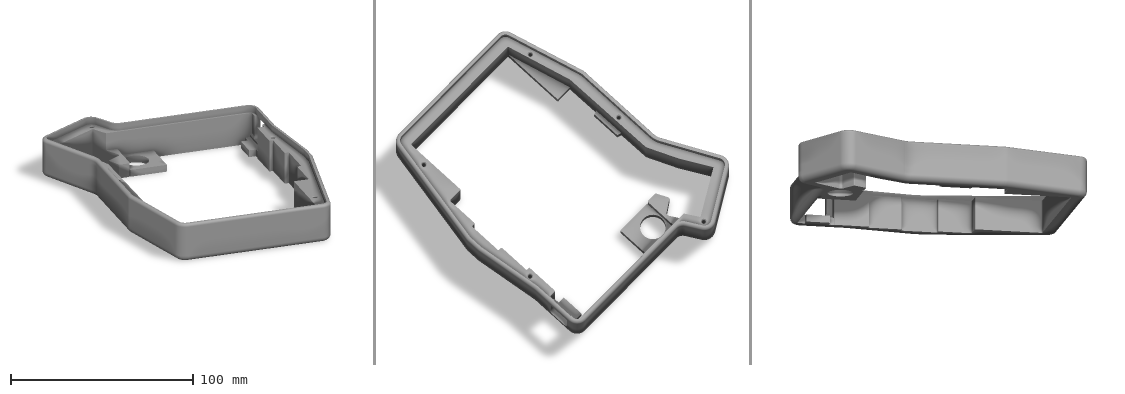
import cadquery as cq
import math

HEIGHT = 22.3
LIP_HEIGHT = 4.0
LEDGE_Z = HEIGHT - LIP_HEIGHT
FLOOR_Z = 4.0
LATCH_Z = 8.1

LIP_THICKNESS = 2.3
WALL_THICKNESS = 3.5
TOP_ROUND = 1.6
BOTTOM_ROUND = 3.0

LEFT_X = 13.7
RIGHT_X = 161.6
FRONT_Y = 17.3
BACK_LEFT_Y = 127.0
BACK_PEAK_Y = 132.0
INNER_LEFT_X = LEFT_X + WALL_THICKNESS

CORNER_ROUND = 6.1
BEND_ROUND = 8.1
FRONT_BEND_ROUND = 10.0
WAIST_ROUND = 4.8
OUTER_CORNERS = [
    (LEFT_X, BACK_LEFT_Y, CORNER_ROUND),
    (45.7, BACK_LEFT_Y, BEND_ROUND),
    (83.9, BACK_PEAK_Y, BEND_ROUND),
    (92.3, BACK_PEAK_Y, BEND_ROUND),
    (RIGHT_X, 118.3, CORNER_ROUND),
    (RIGHT_X, 30.0, CORNER_ROUND),
    (112.8, FRONT_Y, BEND_ROUND),
    (57.9, FRONT_Y, FRONT_BEND_ROUND),
    (19.7, -2.0, CORNER_ROUND),
    (-2.3, 36.0, CORNER_ROUND),
    (LEFT_X, 45.3, WAIST_ROUND),
]

INNER_RIGHT_X = 153.2
BLOCK_X = 115.5
BLOCK_BACK_Y = 112.7
BLOCK_FRONT_Y = 25.5
PLATFORM_Y = 35.2
STEP_ROUND = 0.6

BAY_BACK_Y = BACK_LEFT_Y - WALL_THICKNESS
BAY_RIGHT_X = 37.8
BAY_FRONT_Y = 119.6
BAY_CHAMFER = 0.6
BAY_CORNER_ROUND = 0.5
TONGUE_LEFT_X = 21.5
TONGUE_RIGHT_X = 34.9
TONGUE_FRONT_Y = 115.5
SLOT_LEFT_X = 21.7
SLOT_RIGHT_X = 34.5
SLOT_FLOOR_Z = 5.2
SLOT_ROUND = 2.3
SILL_DEPTH = 1.0
SILL_SLOPE_HEIGHT = 1.0

WAIST_INNER_Y = 38.5
FRONT_INNER_Y = 25.0
BAY_STEP_Y = 119.3
BACK_STEP_X = 57.5
BACK_STEP_Y = 121.4
NICHE_LEFT_X = 76.5
NICHE_RIGHT_X = 96.7
NICHE_Y = 123.8
INNER_CORNERS = [
    (INNER_LEFT_X, WAIST_INNER_Y, 0),
    (INNER_LEFT_X, BAY_BACK_Y, 0),
    (BAY_RIGHT_X, BAY_BACK_Y, BAY_CORNER_ROUND),
    (BAY_RIGHT_X, BAY_FRONT_Y, 0),
    (BAY_RIGHT_X + BAY_CHAMFER, BAY_STEP_Y, 0),
    (BACK_STEP_X, BAY_STEP_Y, 0),
    (BACK_STEP_X, BACK_STEP_Y, 0),
    (NICHE_LEFT_X, BACK_STEP_Y, STEP_ROUND),
    (NICHE_LEFT_X, NICHE_Y, 0),
    (NICHE_RIGHT_X, NICHE_Y, STEP_ROUND),
    (NICHE_RIGHT_X, BACK_STEP_Y, STEP_ROUND),
    (BLOCK_X, BACK_STEP_Y, STEP_ROUND),
    (BLOCK_X, BLOCK_BACK_Y, STEP_ROUND),
    (INNER_RIGHT_X, BLOCK_BACK_Y, STEP_ROUND),
    (INNER_RIGHT_X, PLATFORM_Y, STEP_ROUND),
    (BLOCK_X, BLOCK_FRONT_Y, 0),
    (58.5, FRONT_INNER_Y, 3.2),
    (41.0, 17.5, 0),
    (23.8, 8.0, 0),
    (9.2, 33.6, 0),
]

PLATE_RIGHT_X = 38.8
PLATE_BACK_Y = 66.3
LATCH_BACK_Y = 45.0
NOTCH_TOP_Y = 42.8
LATCH_BACK_ROUND = 1.3
LATCH_FRONT_ROUND = 0.6
NOTCH_ROUND = 0.5
PLATE_HOLE_DIAMETER = 14.0
PLATE_HOLE_CENTER = (27.3, 52.5)

TAB_LEFT_X = 77.0
TAB_RIGHT_X = 96.0
TAB_BACK_Y = 27.6
TAB_SIDE_SLANT = 0.8

SCREW_DIAMETER = 2.3
SCREW_MOUTH_DIAMETER = 3.2
SCREW_DEPTH = 13
DRILL_TIP_ANGLE = 118
SCREW_CENTERS = [(53.7, 122.7), (140.2, 116.2), (6.1, 34.3), (81.1, 23.0), (141.3, 30.0)]


def rounded_outline(corners):
    """Closed wire through (x, y, radius) corners, each rounded by a tangent arc."""
    path = None
    for i, (x, y, radius) in enumerate(corners):
        corner = cq.Vector(x, y)
        to_last = (cq.Vector(*corners[i - 1][:2]) - corner).normalized()
        to_next = (cq.Vector(*corners[(i + 1) % len(corners)][:2]) - corner).normalized()
        half_angle = to_last.getAngle(to_next) / 2
        tangent_length = radius / math.tan(half_angle)
        start = corner + to_last * tangent_length
        end = corner + to_next * tangent_length
        path = path.lineTo(start.x, start.y) if path else cq.Workplane().moveTo(start.x, start.y)
        if radius:
            toward_center = (to_last + to_next).normalized()
            middle = corner + toward_center * (radius / math.sin(half_angle) - radius)
            path = path.threePointArc((middle.x, middle.y), (end.x, end.y))
    return path.close()


def box(x_min, x_max, y_min, y_max, z_min, z_max):
    """Block between the given limits along each axis."""
    size = (x_max - x_min, y_max - y_min, z_max - z_min)
    return cq.Workplane().box(*size, centered=False).translate((x_min, y_min, z_min))


def frame():
    """Rounded outer body with the lip recess and the through opening."""
    body = rounded_outline(OUTER_CORNERS).extrude(HEIGHT)
    body = body.faces(">Z").edges().fillet(TOP_ROUND)
    body = body.faces("<Z").edges().fillet(BOTTOM_ROUND)
    recess = rounded_outline(OUTER_CORNERS).offset2D(-LIP_THICKNESS).extrude(LIP_HEIGHT)
    opening = rounded_outline(INNER_CORNERS).extrude(HEIGHT)
    return body.cut(recess.translate((0, 0, LEDGE_Z))).cut(opening)


def connector_floor():
    """Bay floor, its tongue, and the sloped sill along the back wall."""
    floor = box(INNER_LEFT_X, BAY_RIGHT_X, BAY_FRONT_Y, BAY_BACK_Y, 0, FLOOR_Z)
    tongue = box(TONGUE_LEFT_X, TONGUE_RIGHT_X, TONGUE_FRONT_Y, BAY_BACK_Y, 0, FLOOR_Z)
    sill_y = BAY_BACK_Y - SILL_DEPTH
    sill = (
        cq.Workplane("YZ", origin=(INNER_LEFT_X, 0, 0))
        .moveTo(BAY_BACK_Y, 0)
        .lineTo(sill_y, 0)
        .lineTo(sill_y, SLOT_FLOOR_Z)
        .lineTo(BAY_BACK_Y, SLOT_FLOOR_Z + SILL_SLOPE_HEIGHT)
        .close()
        .extrude(BAY_RIGHT_X - INNER_LEFT_X)
    )
    return floor.union(tongue).union(sill)


def connector_slot():
    """Slot through the back wall under the lip, with round lower corners."""
    slot = box(
        SLOT_LEFT_X, SLOT_RIGHT_X, BAY_BACK_Y - SILL_DEPTH, BACK_LEFT_Y, SLOT_FLOOR_Z, LEDGE_Z
    )
    return slot.edges("|Y and <Z").fillet(SLOT_ROUND)


def plate():
    """Low plate on the left wall with a round hole."""
    body = box(INNER_LEFT_X, PLATE_RIGHT_X, LATCH_BACK_Y, PLATE_BACK_Y, 0, FLOOR_Z)
    hole = cq.Workplane().center(*PLATE_HOLE_CENTER).circle(PLATE_HOLE_DIAMETER / 2).extrude(FLOOR_Z)
    return body.cut(hole)


def latch():
    """Raised block beside the plate, with an open notch leading into the waist."""
    corners = [
        (INNER_LEFT_X, WAIST_INNER_Y, 0),
        (INNER_LEFT_X, LATCH_BACK_Y, 0),
        (PLATE_RIGHT_X, LATCH_BACK_Y, LATCH_BACK_ROUND),
        (PLATE_RIGHT_X, WAIST_INNER_Y, LATCH_FRONT_ROUND),
        (31.4, 34.9, LATCH_FRONT_ROUND),
        (26.3, NOTCH_TOP_Y, NOTCH_ROUND),
        (24.7, NOTCH_TOP_Y, 0),
    ]
    return rounded_outline(corners).extrude(LATCH_Z)


def front_platform():
    """Low triangle that squares off the slanted front right wall."""
    return (
        cq.Workplane()
        .polyline([(BLOCK_X, BLOCK_FRONT_Y), (BLOCK_X, PLATFORM_Y), (INNER_RIGHT_X, PLATFORM_Y)])
        .close()
        .extrude(FLOOR_Z)
    )


def front_tab():
    """Low tab standing in from the front wall, its two sides slanting inward."""
    root_y = FRONT_Y + WALL_THICKNESS
    return (
        cq.Workplane()
        .polyline([
            (TAB_LEFT_X, root_y),
            (TAB_LEFT_X, FRONT_INNER_Y),
            (TAB_LEFT_X + TAB_SIDE_SLANT, TAB_BACK_Y),
            (TAB_RIGHT_X - TAB_SIDE_SLANT, TAB_BACK_Y),
            (TAB_RIGHT_X, FRONT_INNER_Y),
            (TAB_RIGHT_X, root_y),
        ])
        .close()
        .extrude(FLOOR_Z)
    )


def screw_holes():
    """Blind drilled holes with a 45 degree mouth and a pointed end, sunk from the ledge."""
    radius = SCREW_DIAMETER / 2
    mouth_radius = SCREW_MOUTH_DIAMETER / 2
    tip_height = radius / math.tan(math.radians(DRILL_TIP_ANGLE / 2))
    hole = (
        cq.Workplane("XZ")
        .polyline([
            (0, 0),
            (mouth_radius, 0),
            (radius, radius - mouth_radius),
            (radius, -SCREW_DEPTH),
            (0, -SCREW_DEPTH - tip_height),
        ])
        .close()
        .revolve(360, (0, 0), (0, 1))
        .translate((0, 0, LEDGE_Z))
    )
    holes = hole.translate((*SCREW_CENTERS[0], 0))
    for center in SCREW_CENTERS[1:]:
        holes = holes.union(hole.translate((*center, 0)))
    return holes


result = (
    frame()
    .union(connector_floor())
    .cut(connector_slot())
    .union(plate())
    .union(latch())
    .union(front_platform())
    .union(front_tab())
    .cut(screw_holes())
)